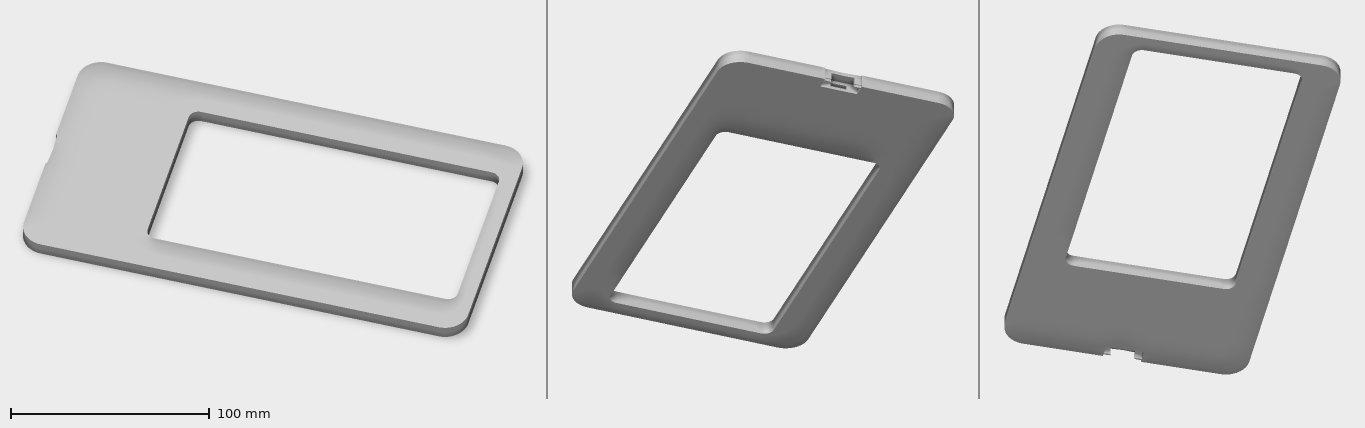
import cadquery as cq

length = 232.0
width = 126.0
thickness = 7.0
corner_radius = 12.0

window_length = 162.0
window_width = 87.7
window_corner_radius = 5.0
window_end_margin = 8.8

recess_width = 19.7
recess_end_depth = 0.7
recess_vee_depth = 0.5
relief_step = 0.5
relief_height = 1.5

slot_width = 12.5
slot_depth = 7.0
slot_height = 5.0
cavity_start = 2.0
port_width = 8.5
port_height = 2.15
port_depth = 2.3

edge_x = -length / 2


def rounded_block(block_length, block_width, radius):
    """Full-thickness block with rounded vertical edges."""
    block = cq.Workplane("XY").box(block_length, block_width, thickness, centered=(True, True, False))
    return block.edges("|Z").fillet(radius)


def vee_recess(end_depth, height):
    """Recess rising from the underside, whose back wall is a shallow V deepest at mid-width."""
    half_width = recess_width / 2
    end_x = edge_x + end_depth
    outline = [
        (edge_x, -half_width),
        (end_x, -half_width),
        (end_x + recess_vee_depth, 0),
        (end_x, half_width),
        (edge_x, half_width),
    ]
    return cq.Workplane("XY").polyline(outline).close().extrude(height)


def edge_pocket(inset, depth, pocket_width, height, floor=0):
    """Box cut running inward from the given inset behind the -X edge."""
    pocket = cq.Workplane("XY").box(depth, pocket_width, height, centered=(False, True, False))
    return pocket.translate((edge_x + inset, 0, floor))


cable_slot = edge_pocket(0, slot_depth, slot_width, slot_height)
cavity = edge_pocket(cavity_start, slot_depth - cavity_start, recess_width, slot_height)
port_pocket = edge_pocket(slot_depth, port_depth, port_width, port_height, floor=relief_height)

window_center_x = (length - window_length) / 2 - window_end_margin
window = rounded_block(window_length, window_width, window_corner_radius).translate((window_center_x, 0, 0))

result = (
    rounded_block(length, width, corner_radius)
    .cut(window)
    .cut(vee_recess(recess_end_depth, thickness))
    .cut(vee_recess(recess_end_depth + relief_step, relief_height))
    .cut(cable_slot)
    .cut(cavity)
    .cut(port_pocket)
)